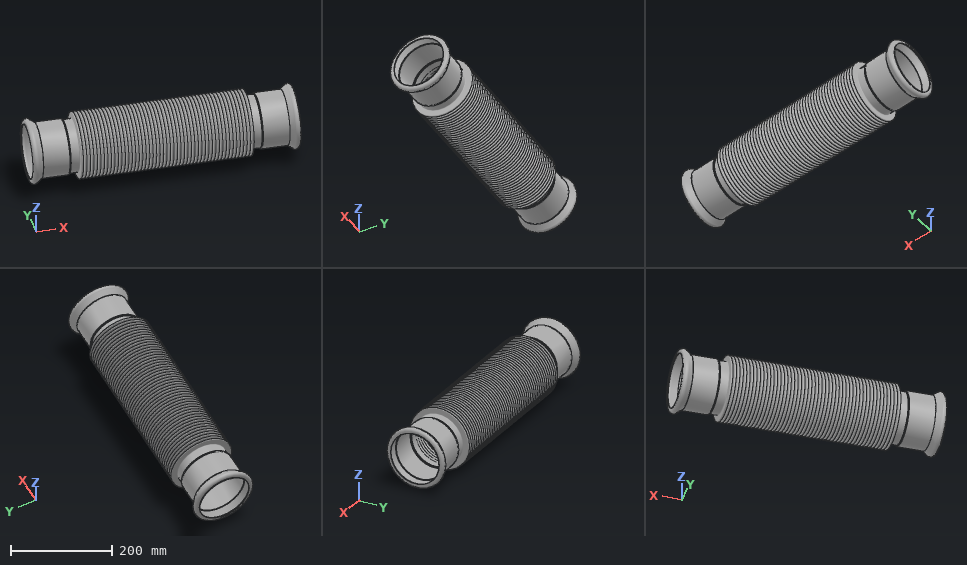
import cadquery as cq
import math

LENGTH = 542.0
HALF_LENGTH = LENGTH / 2

SOCKET_LENGTH = 77.5
SOCKET_DIAMETER = 113.5
SOCKET_BORE = 109.0
STOP_DEPTH = 75.5
END_CHAMFER = 2.5
END_CHAMFER_DIAMETER = 111.5
MOUTH_DIAMETER = 110.5
BEAD_DIAMETER = 133.0
BEAD_RADIUS = 6.8
BEAD_WALL = 1.9
BEAD_ARC_END = 12.0
CONE_END = 21.5

TUBE_DIAMETER = 108.0
TUBE_BORE = 104.0
CREST_DIAMETER = 136.0
CONVOLUTION_COUNT = 50
PITCH = 7.0
CREST_WIDTH = 4.0
CREST_RADIUS = CREST_WIDTH / 2
ROOT_RADIUS = (PITCH - CREST_WIDTH) / 2

DISC_DIAMETER = 15.0
ARM_WIDTH = 5.5
ARM_THICKNESS = 5.5


def revolve_about_x(profile):
    return profile.close().revolve(360, (0, 0, 0), (1, 0, 0))


def make_socket():
    """The socket at the -X end, revolved from its wall section."""
    mouth_x = -HALF_LENGTH
    inner_end_x = mouth_x + SOCKET_LENGTH
    outer_r = SOCKET_DIAMETER / 2
    bore_r = SOCKET_BORE / 2
    mouth_r = MOUTH_DIAMETER / 2

    bead_x = mouth_x + BEAD_RADIUS
    bead_r = BEAD_DIAMETER / 2 - BEAD_RADIUS
    groove_radius = BEAD_RADIUS - BEAD_WALL
    arc_end_angle = math.acos((BEAD_ARC_END - BEAD_RADIUS) / BEAD_RADIUS)
    arc_mid_angle = math.radians(135)

    def bead_point(radius, angle):
        return (bead_x + radius * math.cos(angle), bead_r + radius * math.sin(angle))

    outer_arc_end = bead_point(BEAD_RADIUS, arc_end_angle)
    groove_arc_end = bead_point(groove_radius, arc_end_angle)

    cone_end_x = mouth_x + CONE_END
    cone_run_per_drop = (cone_end_x - outer_arc_end[0]) / (outer_arc_end[1] - outer_r)
    inner_cone_end_x = groove_arc_end[0] + cone_run_per_drop * (groove_arc_end[1] - bore_r)

    profile = (
        cq.Workplane("XY")
        .moveTo(mouth_x, mouth_r)
        .lineTo(mouth_x, bead_r)
        .threePointArc(bead_point(BEAD_RADIUS, arc_mid_angle), outer_arc_end)
        .lineTo(cone_end_x, outer_r)
        .lineTo(inner_end_x - END_CHAMFER, outer_r)
        .lineTo(inner_end_x, END_CHAMFER_DIAMETER / 2)
        .lineTo(inner_end_x, TUBE_BORE / 2)
        .lineTo(mouth_x + STOP_DEPTH, TUBE_BORE / 2)
        .lineTo(mouth_x + STOP_DEPTH, bore_r)
        .lineTo(inner_cone_end_x, bore_r)
        .lineTo(*groove_arc_end)
        .threePointArc(bead_point(groove_radius, arc_mid_angle), (mouth_x + BEAD_WALL, bead_r))
        .lineTo(mouth_x + BEAD_WALL, mouth_r)
    )
    return revolve_about_x(profile)


def make_bellows_tube():
    """Tube between the two sockets with rounded convolutions around a straight bore."""
    end_x = HALF_LENGTH - SOCKET_LENGTH
    tube_r = TUBE_DIAMETER / 2
    bore_r = TUBE_BORE / 2
    root_top_r = tube_r + ROOT_RADIUS
    crest_base_r = CREST_DIAMETER / 2 - CREST_RADIUS
    first_x = -(CONVOLUTION_COUNT - 1) / 2 * PITCH

    profile = cq.Workplane("XY").moveTo(-end_x, bore_r).lineTo(-end_x, tube_r)
    profile = profile.lineTo(first_x - PITCH / 2, tube_r)
    for index in range(CONVOLUTION_COUNT):
        x = first_x + index * PITCH
        profile = (
            profile.radiusArc((x - CREST_RADIUS, root_top_r), -ROOT_RADIUS)
            .lineTo(x - CREST_RADIUS, crest_base_r)
            .radiusArc((x + CREST_RADIUS, crest_base_r), CREST_RADIUS)
            .lineTo(x + CREST_RADIUS, root_top_r)
            .radiusArc((x + PITCH / 2, tube_r), -ROOT_RADIUS)
        )
    profile = profile.lineTo(end_x, tube_r).lineTo(end_x, bore_r)
    return revolve_about_x(profile)


def make_arm():
    """Flat arm at mid-length; its outer end is sunk into the tube wall so that it joins the tube."""
    arm_reach = (TUBE_BORE + TUBE_DIAMETER) / 4
    disc = cq.Workplane("YZ").circle(DISC_DIAMETER / 2).extrude(ARM_THICKNESS / 2, both=True)
    bar = cq.Workplane("XY").box(ARM_THICKNESS, arm_reach, ARM_WIDTH).translate((0, arm_reach / 2, 0))
    return disc.union(bar)


left_socket = make_socket()
right_socket = left_socket.mirror("YZ")
bellows_tube = make_bellows_tube().union(make_arm())

result = cq.Compound.makeCompound([left_socket.val(), right_socket.val(), bellows_tube.val()])